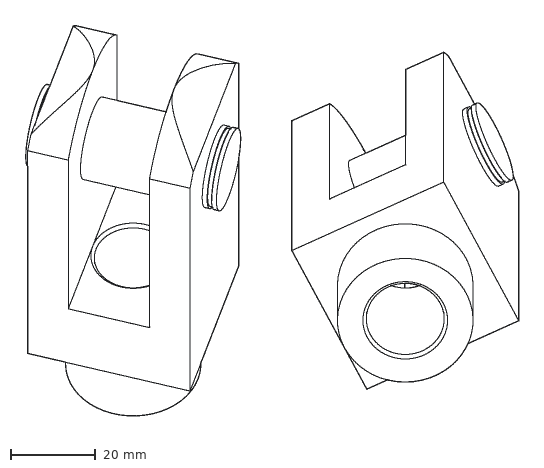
import cadquery as cq
import math

body_width = 40.0
shank_diameter = 32.0
shank_length = 20.0
slot_width = 20.0
slot_floor_z = 40.0
hole_diameter = 18.38
hole_mouth_diameter = 20.0

pin_diameter = 20.0
pin_length = 47.0
pin_z = 80.0
end_radius = 25.0
top_z = pin_z + end_radius

groove_diameter = 19.0
groove_width = 1.1
groove_end_distance = 1.2


def rounded_column(plane, radius):
    """Column as wide as the body, topped by an arc centred on the pin."""
    half_width = body_width / 2
    shoulder_z = pin_z + math.sqrt(radius**2 - half_width**2)
    return (
        cq.Workplane(plane)
        .moveTo(-half_width, shank_length)
        .lineTo(half_width, shank_length)
        .lineTo(half_width, shoulder_z)
        .threePointArc((0, pin_z + radius), (-half_width, shoulder_z))
        .close()
        .extrude(half_width, both=True)
    )


def make_fork():
    """Square fork, rounded about the pin axis and across the outer faces of the arms."""
    cross_radius = math.hypot(end_radius, slot_width / 2)
    block = rounded_column("YZ", end_radius).intersect(rounded_column("XZ", cross_radius))
    slot = cq.Workplane("XY", origin=(0, 0, slot_floor_z)).box(
        slot_width, body_width, top_z - slot_floor_z, centered=(True, True, False)
    )
    return block.cut(slot)


def make_shank():
    return cq.Workplane("XY").circle(shank_diameter / 2).extrude(shank_length)


def make_threaded_hole():
    """Core hole from the shank end to the slot, chamfered at both mouths."""
    chamfer = (hole_mouth_diameter - hole_diameter) / 2
    core_radius = hole_diameter / 2
    mouth_radius = hole_mouth_diameter / 2
    return (
        cq.Workplane("XZ")
        .moveTo(0, 0)
        .lineTo(mouth_radius, 0)
        .lineTo(core_radius, chamfer)
        .lineTo(core_radius, slot_floor_z - chamfer)
        .lineTo(mouth_radius, slot_floor_z)
        .lineTo(0, slot_floor_z)
        .close()
        .revolve(360, (0, 0), (0, 1))
    )


def x_cylinder(diameter, start_x, length):
    """Cylinder on the pin axis."""
    return cq.Workplane("YZ", origin=(start_x, 0, pin_z)).circle(diameter / 2).extrude(length)


def make_pin():
    pin = x_cylinder(pin_diameter, -pin_length / 2, pin_length)
    groove_start = pin_length / 2 - groove_end_distance - groove_width
    for start_x in (groove_start, -groove_start - groove_width):
        ring = x_cylinder(pin_diameter, start_x, groove_width)
        ring = ring.cut(x_cylinder(groove_diameter, start_x, groove_width))
        pin = pin.cut(ring)
    return pin


result = make_fork().union(make_shank()).cut(make_threaded_hole()).union(make_pin())